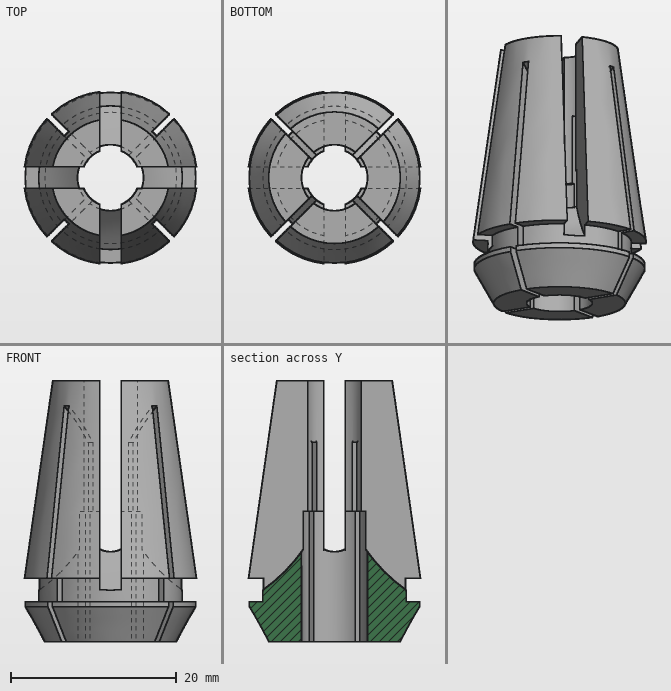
import cadquery as cq
import math

height = 31.5
base_radius = 7.95
flange_radius = 10.3
flange_bottom = 4.25
flange_top = 4.85
groove_radius = 8.65
groove_top = 7.65
taper_radius = 10.45
nose_radius = 7.1

bore_radius = 3.97
nose_bore_radius = 3.45
bore_step = height / 2

cutter_radius = 20.0

wide_slot_width = 2.58
wide_slot_outer_floor = 6.25
wide_slot_inner_floor = 11.18

narrow_slot_width = 0.8
narrow_slot_outer_top = 28.45
narrow_slot_inner_top = 24.07

cut_reach = taper_radius + 1.58


def taper_radius_at(z):
    """Outer radius of the tapered body at height z."""
    fraction = (z - groove_top) / (height - groove_top)
    return taper_radius + fraction * (nose_radius - taper_radius)


def arc_middle(start, end, side):
    """Middle of a cutter arc bowed toward the axis and, by the sign of side, up or down."""
    chord_x = end[0] - start[0]
    chord_z = end[1] - start[1]
    chord = math.hypot(chord_x, chord_z)
    sagitta = cutter_radius - math.sqrt(cutter_radius**2 - (chord / 2) ** 2)
    middle_x = (start[0] + end[0]) / 2 - abs(chord_z) / chord * sagitta
    middle_z = (start[1] + end[1]) / 2 + side * abs(chord_x) / chord * sagitta
    return (middle_x, middle_z)


def collet_body():
    """Revolved outer shape with the stepped bore."""
    profile = [
        (bore_radius, 0),
        (base_radius, 0),
        (flange_radius, flange_bottom),
        (flange_radius, flange_top),
        (groove_radius, flange_top),
        (groove_radius, groove_top),
        (taper_radius, groove_top),
        (nose_radius, height),
        (nose_bore_radius, height),
        (nose_bore_radius, bore_step),
        (bore_radius, bore_step),
    ]
    return cq.Workplane("XZ").polyline(profile).close().revolve(360, (0, 0), (0, 1))


def slot_cutter(inner, outer, open_end, side, width):
    """Cutter along +X from the axis, bounded by an arc and reaching the height open_end."""
    return (
        cq.Workplane("XZ")
        .moveTo(0, open_end)
        .lineTo(0, inner[1])
        .lineTo(*inner)
        .threePointArc(arc_middle(inner, outer, side), outer)
        .lineTo(cut_reach, outer[1])
        .lineTo(cut_reach, open_end)
        .close()
        .extrude(width / 2, both=True)
    )


wide_slot_inner_reach = math.sqrt(bore_radius**2 - (wide_slot_width / 2) ** 2)

wide_slot = slot_cutter(
    (wide_slot_inner_reach, wide_slot_inner_floor),
    (groove_radius, wide_slot_outer_floor),
    height,
    -1,
    wide_slot_width,
)

narrow_slot = slot_cutter(
    (nose_bore_radius, narrow_slot_inner_top),
    (taper_radius_at(narrow_slot_outer_top), narrow_slot_outer_top),
    0,
    1,
    narrow_slot_width,
)

result = collet_body()
for quarter in range(4):
    angle = 90 * quarter
    result = result.cut(wide_slot.rotate((0, 0, 0), (0, 0, 1), angle))
    result = result.cut(narrow_slot.rotate((0, 0, 0), (0, 0, 1), angle + 45))